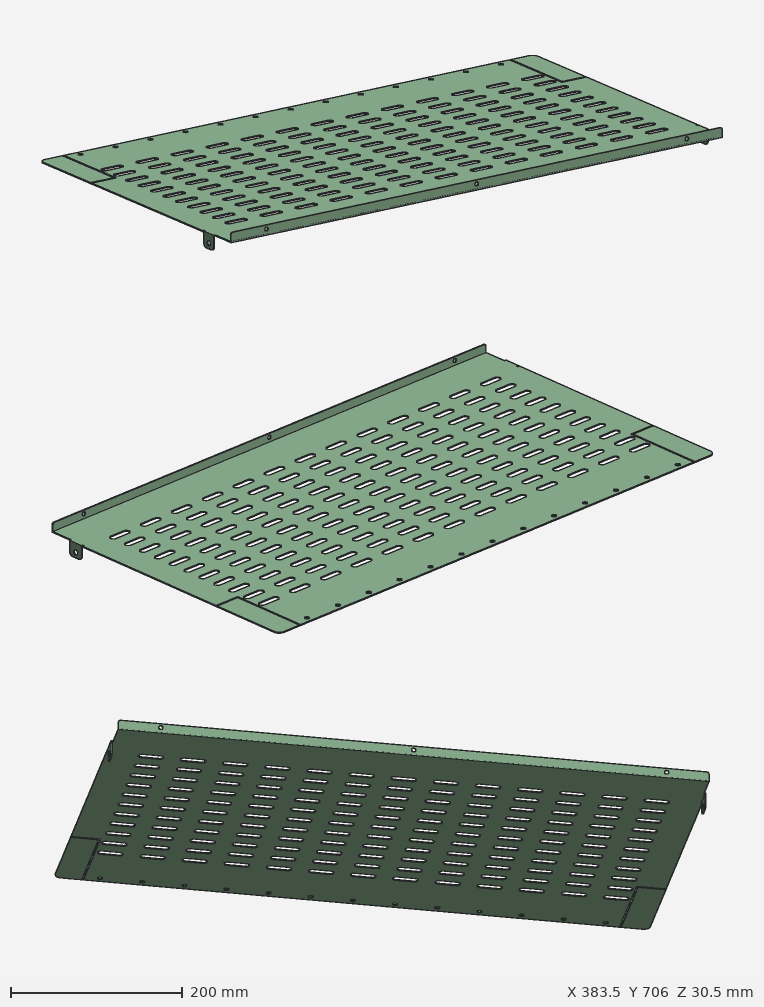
import cadquery as cq

LENGTH_X = 383.5
WIDTH_Y = 706.0
SHEET = 1.5
FLANGE_HEIGHT = 12.5
TAB_HEIGHT = 19.5

X_MIN = -LENGTH_X / 2
X_MAX = LENGTH_X / 2
Y_MAX = WIDTH_Y / 2
HEIGHT_Z = FLANGE_HEIGHT + TAB_HEIGHT - SHEET
PLATE_TOP = -HEIGHT_Z / 2 + TAB_HEIGHT
PLATE_BOTTOM = PLATE_TOP - SHEET

PLATE_CORNER_RADIUS = 8.0

SLOT_COLUMNS = 11
SLOT_ROWS = 13
SLOT_PITCH_X = 25.0
SLOT_PITCH_Y = 50.0
SLOT_LENGTH = 30.0
SLOT_WIDTH = 8.8
SLOT_FIELD_CENTER_X = 5.2

EDGE_HOLE_DIAMETER = 6.0
EDGE_HOLE_INSET = 8.0

CORNER_LENGTH_X = 104.5
CORNER_WIDTH_Y = 34.0
CUT_WIDTH = 2.0
CORNER_BRIDGE = 1.0

FLANGE_INSET_Y = 2.5
FLANGE_CORNER_RADIUS = 3.0
FLANGE_HOLE_DIAMETER = 5.0
FLANGE_HOLE_COUNT = 3
FLANGE_HOLE_PITCH = 300.0
FLANGE_HOLE_DROP = 5.0

TAB_CENTER_X = 149.75
TAB_WIDTH = 20.0
TAB_CORNER_RADIUS = 5.0
TAB_HOLE_DIAMETER = 6.5
TAB_HOLE_RISE = 7.0
RELIEF_WIDTH = 2.0
RELIEF_DEPTH = 2.0


def box(x0, x1, y0, y1, z0, z1):
    """Axis-aligned box between two opposite corners."""
    return cq.Workplane("XY").box(x1 - x0, y1 - y0, z1 - z0, centered=False).translate((x0, y0, z0))


def plate_box(x0, x1, y0, y1):
    """Box with the thickness and height of the plate."""
    return box(x0, x1, y0, y1, PLATE_BOTTOM, PLATE_TOP)


def plate():
    """Flat sheet, rounded at the -X corners and stepped in beyond the tabs."""
    sheet = plate_box(X_MIN, X_MAX, -Y_MAX, Y_MAX).edges("|Z and <X").fillet(PLATE_CORNER_RADIUS)
    tab_end = TAB_CENTER_X + TAB_WIDTH / 2
    step = plate_box(tab_end, X_MAX, Y_MAX - FLANGE_INSET_Y, Y_MAX)
    return sheet.cut(step).cut(step.mirror("XZ"))


def plate_holes():
    """Slot field plus the row of holes along the -X edge."""
    sketch_plane = cq.Workplane("XY").workplane(offset=PLATE_BOTTOM)
    slots = (
        sketch_plane.center(SLOT_FIELD_CENTER_X, 0)
        .rarray(SLOT_PITCH_X, SLOT_PITCH_Y, SLOT_COLUMNS, SLOT_ROWS)
        .slot2D(SLOT_LENGTH, SLOT_WIDTH, 90)
        .extrude(SHEET)
    )
    holes = (
        sketch_plane.center(X_MIN + EDGE_HOLE_INSET, 0)
        .rarray(1, SLOT_PITCH_Y, 1, SLOT_ROWS)
        .circle(EDGE_HOLE_DIAMETER / 2)
        .extrude(SHEET)
    )
    return slots.union(holes)


def corner_cut():
    """L-shaped cut that outlines the corner at -X, +Y."""
    x_end = X_MIN + CORNER_LENGTH_X + CUT_WIDTH / 2
    y_end = Y_MAX - CORNER_WIDTH_Y - CUT_WIDTH / 2
    along_x = plate_box(X_MIN + CORNER_BRIDGE, x_end, y_end, y_end + CUT_WIDTH)
    along_y = plate_box(x_end - CUT_WIDTH, x_end, y_end, Y_MAX - CORNER_BRIDGE)
    return along_x.union(along_y)


def tab_relief():
    """Notch beside the +Y tab's bend."""
    x_end = TAB_CENTER_X - TAB_WIDTH / 2
    return plate_box(x_end - RELIEF_WIDTH, x_end, Y_MAX - RELIEF_DEPTH, Y_MAX)


def flange():
    """Raised flange along the +X edge with its row of holes."""
    half_width = Y_MAX - FLANGE_INSET_Y
    top = PLATE_BOTTOM + FLANGE_HEIGHT
    wall = box(X_MAX - SHEET, X_MAX, -half_width, half_width, PLATE_BOTTOM, top)
    wall = wall.edges("|X and >Z").fillet(FLANGE_CORNER_RADIUS)
    holes = (
        cq.Workplane("YZ", origin=(X_MAX - SHEET, 0, top - FLANGE_HOLE_DROP))
        .rarray(FLANGE_HOLE_PITCH, 1, FLANGE_HOLE_COUNT, 1)
        .circle(FLANGE_HOLE_DIAMETER / 2)
        .extrude(SHEET)
    )
    return wall.cut(holes)


def tab():
    """Drop tab on the +Y edge with one hole."""
    bottom = PLATE_TOP - TAB_HEIGHT
    x_start = TAB_CENTER_X - TAB_WIDTH / 2
    wall = box(x_start, x_start + TAB_WIDTH, Y_MAX - SHEET, Y_MAX, bottom, PLATE_TOP)
    wall = wall.edges("|Y and <Z").fillet(TAB_CORNER_RADIUS)
    hole = (
        cq.Workplane("XZ", origin=(TAB_CENTER_X, Y_MAX, bottom + TAB_HOLE_RISE))
        .circle(TAB_HOLE_DIAMETER / 2)
        .extrude(SHEET)
    )
    return wall.cut(hole)


result = plate().cut(plate_holes())
for cutter in (corner_cut(), tab_relief()):
    result = result.cut(cutter).cut(cutter.mirror("XZ"))
result = result.union(flange()).union(tab()).union(tab().mirror("XZ"))